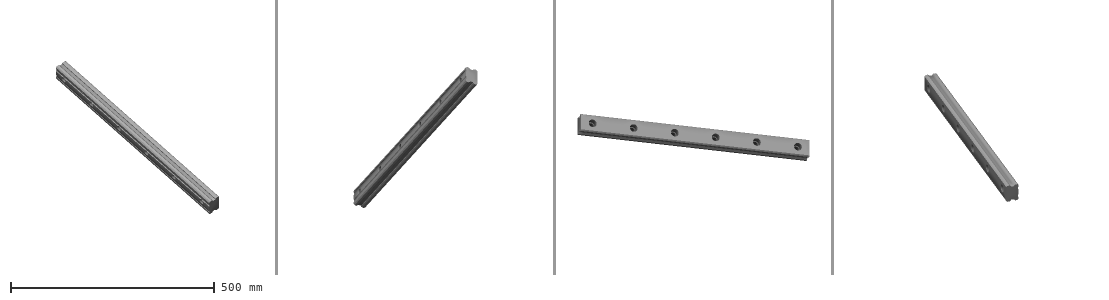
import cadquery as cq

length = 585.0
height = 32.0
width = 45.0
half_width = width / 2

chamfer = 3.0

flank_groove_depth = 4.0
groove_start = 8.0
groove_floor_start = 11.5
head_slope_drop = 2.0
groove_floor_end = 19.5
groove_end = groove_floor_end + flank_groove_depth

relief_depth = 2.0
relief_inner = 6.5
relief_outer = 14.5
inner_slope_width = 1.0

hole_count = 6
end_distance = 30.0
hole_pitch = (length - 2 * end_distance) / (hole_count - 1)
hole_diameter = 14.0
counterbore_diameter = 20.0
counterbore_depth = 17.0

head_y = height / 2
base_y = -height / 2


def make_rail():
    """Extrude the symmetric rail profile along X."""
    chamfer_z = half_width - chamfer
    groove_z = half_width - flank_groove_depth
    relief_y = base_y + relief_depth
    upper_side = [
        (head_y, chamfer_z),
        (head_y - chamfer, half_width),
        (head_y - groove_start, half_width),
        (head_y - groove_floor_start, half_width - head_slope_drop),
        (head_y - groove_floor_start, groove_z),
        (head_y - groove_floor_end, groove_z),
        (head_y - groove_end, half_width),
        (base_y + chamfer, half_width),
        (base_y, chamfer_z),
        (base_y, relief_outer),
        (relief_y, relief_outer),
        (relief_y, relief_inner + inner_slope_width),
        (base_y, relief_inner),
    ]
    lower_side = [(y, -z) for y, z in reversed(upper_side)]
    profile = cq.Workplane("YZ").polyline(upper_side + lower_side).close()
    return profile.extrude(length / 2, both=True)


def drill_mounting_holes(rail):
    """Drill a centred row of holes, counterbored from the head face."""
    first_x = -length / 2 + end_distance
    centres = [(first_x + i * hole_pitch, 0) for i in range(hole_count)]
    bores = (
        cq.Workplane("XZ", origin=(0, head_y, 0))
        .pushPoints(centres)
        .circle(hole_diameter / 2)
        .extrude(height)
    )
    counterbores = (
        cq.Workplane("XZ", origin=(0, head_y, 0))
        .pushPoints(centres)
        .circle(counterbore_diameter / 2)
        .extrude(counterbore_depth)
    )
    return rail.cut(bores).cut(counterbores)


result = drill_mounting_holes(make_rail())